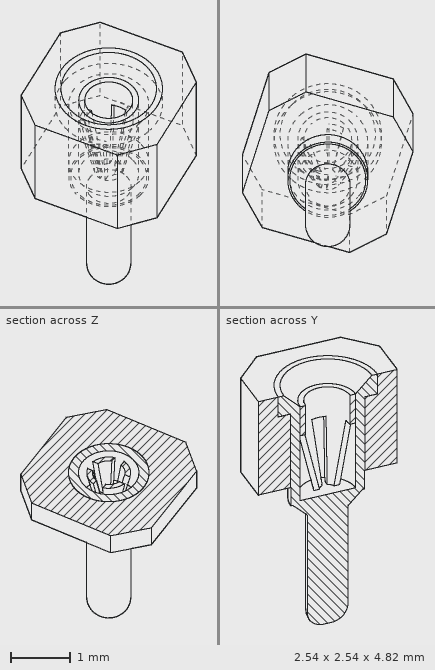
import cadquery as cq

total_height = 4.82

housing_width = 2.54
housing_height = 1.9
housing_bevel = 0.5

head_diameter = 1.81
collar_diameter = 1.35
tail_diameter = 0.75
collar_drop = 0.37
shoulder_height = 0.26
shoulder_ledge = 0.035
tip_radius = 0.31
funnel_diameter = 1.61
funnel_depth = 0.3

clip_diameter = 1.01
clip_bore = 0.81
clip_tube_length = 0.6
finger_length = 1.2
finger_end_bore = 0.28
slot_top_width = 0.26
slot_end_width = 0.09
slot_count = 4
full_turn = 360.0

housing_bottom = total_height - housing_height
collar_bottom = housing_bottom - collar_drop
shoulder_bottom = collar_bottom - shoulder_height
clip_wall = (clip_diameter - clip_bore) / 2
clip_top = total_height - funnel_depth
finger_top = clip_top - clip_tube_length
finger_bottom = finger_top - finger_length
socket_floor = finger_bottom - clip_wall
head_bottom = clip_top - clip_wall


def cylinder(diameter, bottom, top):
    """Upright cylinder on the Z axis between two levels."""
    return cq.Workplane("XY").workplane(offset=bottom).circle(diameter / 2).extrude(top - bottom)


def cone(bottom_diameter, top_diameter, bottom, top):
    """Upright truncated cone on the Z axis between two levels."""
    return cq.Workplane(
        cq.Solid.makeCone(bottom_diameter / 2, top_diameter / 2, top - bottom, cq.Vector(0, 0, bottom))
    )


def make_housing():
    """Bevelled block with a stepped hole that fits the terminal."""
    block = (
        cq.Workplane("XY")
        .workplane(offset=housing_bottom)
        .rect(housing_width, housing_width)
        .extrude(housing_height)
        .edges("|Z")
        .chamfer(housing_bevel)
    )
    block = block.cut(cylinder(collar_diameter, housing_bottom, total_height))
    return block.cut(cylinder(head_diameter, head_bottom, total_height))


def make_terminal():
    """Head, collar, conical shoulder and round-tipped tail, with a funnel and a socket."""
    tail = cylinder(tail_diameter, 0, shoulder_bottom).faces("<Z").edges().fillet(tip_radius)
    shoulder = cone(tail_diameter, collar_diameter - 2 * shoulder_ledge, shoulder_bottom, collar_bottom)
    collar = cylinder(collar_diameter, collar_bottom, total_height)
    head = cylinder(head_diameter, head_bottom, total_height)
    terminal = collar.union(head).union(shoulder).union(tail)
    terminal = terminal.cut(cone(clip_diameter, funnel_diameter, clip_top, total_height))
    return terminal.cut(cylinder(clip_diameter, socket_floor, clip_top))


def make_finger_slot():
    """Wedge along +X that narrows downward, from the axis to past the clip wall."""
    return (
        cq.Workplane("YZ")
        .moveTo(-slot_end_width / 2, finger_bottom)
        .lineTo(slot_end_width / 2, finger_bottom)
        .lineTo(slot_top_width / 2, finger_top)
        .lineTo(-slot_top_width / 2, finger_top)
        .close()
        .extrude(clip_diameter)
    )


def make_clip():
    """Tube that tapers inward below, split there into spring fingers."""
    finger_end_diameter = finger_end_bore + 2 * clip_wall
    tube = cylinder(clip_diameter, finger_top, clip_top)
    clip = tube.union(cone(finger_end_diameter, clip_diameter, finger_bottom, finger_top))
    clip = clip.cut(cylinder(clip_bore, finger_top, clip_top))
    clip = clip.cut(cone(finger_end_bore, clip_bore, finger_bottom, finger_top))
    slot = make_finger_slot()
    for index in range(slot_count):
        clip = clip.cut(slot.rotate((0, 0, 0), (0, 0, 1), index * full_turn / slot_count))
    return clip


housing = make_housing()
terminal = make_terminal()
clip = make_clip()

bodies = [housing, terminal, clip]
result = cq.Compound.makeCompound([body.solids().val() for body in bodies])